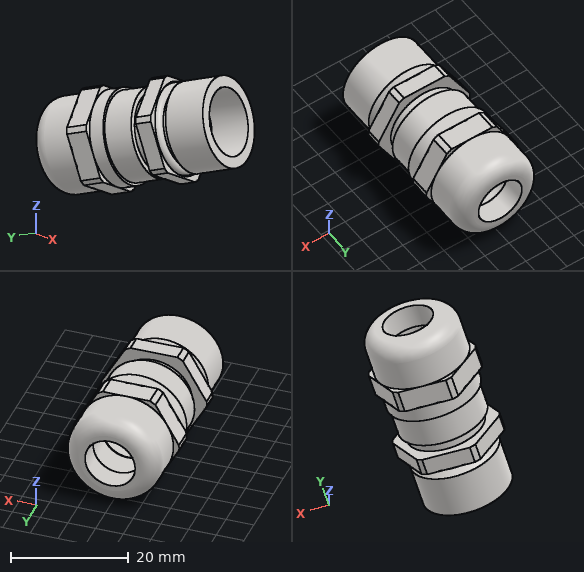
import cadquery as cq
total_length = 35.0
across_flats = 17.0
flat_turn = 30
corner_radius = 9.502

thread_radius = 8.0
thread_end = 7.6
flange_front = 9.62
flange_back = 12.67
neck_end = 14.6
neck_radius = 7.0
groove_radius = 6.15
entry_radius = 6.0
entry_depth = 7.4
housing_bore_radius = 5.4
ring_recess_radius = 8.2
housing_back = 30.8

ring_section_radius = 0.9
ring_mean_radius = groove_radius + ring_section_radius
ring_front = 8.85
ring_center = ring_front + ring_section_radius

cap_front = 20.0
cap_radius = across_flats / 2
cap_hex_front = 22.75
cap_hex_length = 3.95
cap_rounding = 2.98

cage_front = 21.0
cage_bore_radius = 4.62
seal_front = 25.9
seal_bore_radius = 4.5


def cylinder(radius, start, end):
    """Solid cylinder along Y from start to end."""
    return cq.Workplane("XZ", origin=(0, start, 0)).circle(radius).extrude(start - end)


def tube(outer_radius, bore_radius, start, end):
    """Straight sleeve along Y from start to end."""
    return cylinder(outer_radius, start, end).cut(cylinder(bore_radius, start, end))


def hexagon(start, end):
    """Hexagonal prism with flats at top and bottom and its corners trimmed round."""
    blank = cq.Workplane("XZ", origin=(0, start, 0)).transformed(rotate=(0, 0, flat_turn))
    blank = blank.polygon(6, across_flats, circumscribed=True).extrude(start - end)
    return blank.intersect(cylinder(corner_radius, start, end))


def make_sealing_ring():
    section = cq.Workplane("YZ").center(ring_center, ring_mean_radius).circle(ring_section_radius)
    return section.revolve(360, (0, -ring_mean_radius), (1, -ring_mean_radius))


def make_housing(sealing_ring):
    runout_length = thread_radius - groove_radius
    profile = [
        (0, entry_radius),
        (0, thread_radius),
        (thread_end, thread_radius),
        (thread_end + runout_length, groove_radius),
        (flange_back, groove_radius),
        (flange_back, neck_radius),
        (neck_end, neck_radius),
        (neck_end, thread_radius),
        (housing_back, thread_radius),
        (housing_back, housing_bore_radius),
        (entry_depth, housing_bore_radius),
        (entry_depth, entry_radius),
    ]
    turned = cq.Workplane("YZ").polyline(profile).close().revolve(360, (0, 0), (1, 0))

    recess_end = ring_center + ring_section_radius
    flange = hexagon(flange_front, flange_back)
    flange = flange.cut(cylinder(ring_recess_radius, flange_front, recess_end))
    flange = flange.cut(cylinder(groove_radius, flange_front, flange_back))

    return turned.union(flange).cut(sealing_ring)


def make_cap():
    shell = cylinder(cap_radius, cap_front, total_length).faces(">Y").edges().fillet(cap_rounding)
    grip = hexagon(cap_hex_front, cap_hex_front + cap_hex_length)
    socket = cylinder(thread_radius, cap_front, housing_back)
    hole = cylinder(seal_bore_radius, cap_front, total_length)
    return shell.union(grip).cut(socket).cut(hole)


sealing_ring = make_sealing_ring()
housing = make_housing(sealing_ring)
cap = make_cap()
cage = tube(housing_bore_radius, cage_bore_radius, cage_front, seal_front)
cable_seal = tube(housing_bore_radius, seal_bore_radius, seal_front, housing_back)

result = cq.Compound.makeCompound(
    [housing.val(), sealing_ring.val(), cap.val(), cage.val(), cable_seal.val()]
)